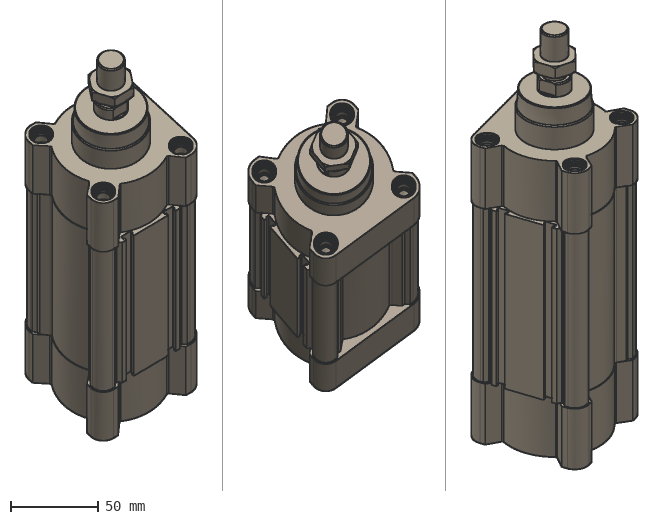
import cadquery as cq
import math


total_length = 273.0
head_length = 41.2
barrel_length = 118.8
spigot_length = 3.8
heads_top = 2 * head_length + barrel_length
rod_top = total_length - spigot_length

overall_width = 75.0
head_half_width = overall_width / 2
screw_spacing = 56.8
screw_offset = screw_spacing / 2
head_lobe_radius = head_half_width - screw_offset
head_round_radius = 34.5
lobe_side_start = 24.9
valley_outer_x = 18.0
valley_outer_y = 30.3
valley_inner_x = 17.0

barrel_half_width = 36.5
barrel_round_radius = 34.1
barrel_lobe_radius = barrel_half_width - screw_offset
lobe_flat_end = 26.5
notch_depth = 34.5
notch_outer = 24.3
notch_inner = 22.5
lip_end = 21.0
slot_center = 15.3
slot_mouth_width = 5.5
slot_inner_width = 7.0
slot_lip_thickness = 2.0
slot_depth = 3.8

recess_mouth_diameter = 14.0
recess_chamfer = 0.4
recess_steps = [(13.0, 1.6), (12.0, 2.7), (10.5, 3.8), (8.7, 5.5), (8.0, 11.0), (6.5, 13.7)]
drill_tip_angle = 118.0

collar_diameter = 45.0
spigot_chamfer = 0.8
neck_length = 27.5
neck_shoulder = 15.3
shoulder_chamfer = 0.8
neck_base_diameter = 43.5
neck_top_diameter = 42.0
neck_waist_depth = 0.15
neck_top_chamfer = 0.5

rod_diameter = 20.0
rod_chamfer = 0.8
rod_flats_width = 17.0
rod_end_length = 31.5
rod_shoulder_z = rod_top - rod_end_length
rod_collar_height = 0.8
flats_bottom_z = heads_top + neck_length + rod_collar_height
thread_end_diameter = 16.0
undercut_diameter = 14.0
undercut_length = 2.0
undercut_taper = 2.0
thread_tip_chamfer = 0.8

nut_across_flats = 24.0
nut_across_corners = nut_across_flats / math.cos(math.radians(30))
nut_height = 8.2
nut_setback = 26.0
nut_bottom_z = rod_top - nut_setback
nut_face_diameter = 25.0
nut_chamfer_angle = 30.0


def revolved(profile):
    """Turn a closed (radius, z) workplane profile about the Z axis."""
    return profile.close().revolve(360, (0, 0, 0), (0, 1, 0))


def screw_places():
    return [(sx * screw_offset, sy * screw_offset) for sx in (-1, 1) for sy in (-1, 1)]


def rounded_square(half_width, corner_radius, height):
    block = cq.Workplane("XY").rect(2 * half_width, 2 * half_width).extrude(height)
    return block.edges("|Z").fillet(corner_radius)


def side_recess(lobe_side, half_width, round_radius, height):
    """Material missing between two lobes on the +Y side; lobe_side runs inward along the +X flank."""
    round_start = (valley_inner_x, math.sqrt(round_radius**2 - valley_inner_x**2))
    edge_x = lobe_side[0][0]
    half = (
        cq.Workplane("XY")
        .moveTo(0, 2 * half_width)
        .lineTo(edge_x, 2 * half_width)
        .polyline(lobe_side + [(valley_outer_x, valley_outer_y), round_start], includeCurrent=True)
        .radiusArc((0, round_radius), -round_radius)
        .close()
        .extrude(height)
    )
    return half.union(half.mirror("YZ"))


def make_head():
    """Head recessed on every side but +Y, which stays flat."""
    head = rounded_square(head_half_width, head_lobe_radius, head_length)
    recess = side_recess(
        [(lobe_side_start, head_half_width)], head_half_width, head_round_radius, head_length
    )
    for angle in (90, 180, -90):
        head = head.cut(recess.rotate((0, 0, 0), (0, 0, 1), angle))
    return head


def sensor_slot(length):
    """T-slot opening to -X, centred on Y = 0."""
    mouth = cq.Workplane("XY").box(2 * slot_depth, slot_mouth_width, length, centered=(True, True, False))
    inner_depth = slot_depth - slot_lip_thickness
    inner = cq.Workplane("XY").box(inner_depth, slot_inner_width, length, centered=(False, True, False))
    return mouth.union(inner.translate((slot_lip_thickness, 0, 0))).translate((-barrel_half_width, 0, 0))


def lobe_notch(length):
    """Notch between a screw lobe and the slot lip, on the -X side towards +Y."""
    points = [
        (-barrel_half_width, lobe_flat_end),
        (-notch_depth, notch_outer),
        (-notch_depth, lip_end + barrel_half_width - notch_depth),
        (-barrel_half_width, lip_end),
    ]
    return cq.Workplane("XY").polyline(points).close().extrude(length)


def make_barrel():
    barrel = rounded_square(barrel_half_width, barrel_lobe_radius, barrel_length)
    flank = [
        (lobe_flat_end, barrel_half_width),
        (notch_outer, notch_depth),
        (notch_inner, notch_depth),
    ]
    recess = side_recess(flank, barrel_half_width, barrel_round_radius, barrel_length)
    for angle in (0, 180):
        barrel = barrel.cut(recess.rotate((0, 0, 0), (0, 0, 1), angle))
    slot = sensor_slot(barrel_length).translate((0, slot_center, 0))
    side_cuts = slot.union(lobe_notch(barrel_length))
    side_cuts = side_cuts.union(side_cuts.mirror("XZ"))
    barrel = barrel.cut(side_cuts).cut(side_cuts.mirror("YZ"))
    return barrel.translate((0, 0, head_length))


def screw_recess():
    """Stepped recess opening upward at Z = 0."""
    core_diameter, core_depth = recess_steps[-1]
    tip_length = core_diameter / 2 / math.tan(math.radians(drill_tip_angle / 2))
    profile = cq.Workplane("XZ").lineTo(recess_mouth_diameter / 2, 0)
    start_depth = recess_chamfer
    for diameter, depth in recess_steps:
        profile = profile.lineTo(diameter / 2, -start_depth).lineTo(diameter / 2, -depth)
        start_depth = depth
    return revolved(profile.lineTo(0, -core_depth - tip_length))


def make_neck():
    """Bearing neck on the upper head, waisted above its collar."""
    top = neck_length - neck_top_chamfer
    waist_bottom = neck_shoulder + shoulder_chamfer
    middle = ((neck_base_diameter + neck_top_diameter) / 4 - neck_waist_depth, (top + waist_bottom) / 2)
    profile = (
        cq.Workplane("XZ")
        .lineTo(collar_diameter / 2, 0)
        .lineTo(collar_diameter / 2, neck_shoulder)
        .lineTo(neck_base_diameter / 2, waist_bottom)
        .threePointArc(middle, (neck_top_diameter / 2, top))
        .lineTo(neck_top_diameter / 2 - neck_top_chamfer, neck_length)
        .lineTo(0, neck_length)
    )
    return revolved(profile).translate((0, 0, heads_top))


def make_spigot():
    spigot = cq.Workplane("XY").circle(collar_diameter / 2).extrude(-spigot_length)
    return spigot.faces("<Z").chamfer(spigot_chamfer)


def make_housing():
    lower_head = make_head()
    upper_head = make_head().translate((0, 0, heads_top - head_length))
    housing = lower_head.union(make_barrel()).union(upper_head).union(make_spigot()).union(make_neck())
    recess = screw_recess()
    for x, y in screw_places():
        housing = housing.cut(recess.translate((x, y, heads_top)))
    rod_bore = cq.Workplane("XY").workplane(offset=heads_top).circle(rod_diameter / 2).extrude(neck_length)
    return housing.cut(rod_bore)


def make_rod():
    rod_radius = rod_diameter / 2
    thread_radius = thread_end_diameter / 2
    undercut_top = rod_shoulder_z + undercut_length
    profile = (
        cq.Workplane("XZ")
        .moveTo(0, heads_top)
        .lineTo(rod_radius, heads_top)
        .lineTo(rod_radius, rod_shoulder_z - rod_chamfer)
        .lineTo(rod_radius - rod_chamfer, rod_shoulder_z)
        .lineTo(undercut_diameter / 2, rod_shoulder_z)
        .lineTo(undercut_diameter / 2, undercut_top)
        .lineTo(thread_radius, undercut_top + undercut_taper)
        .lineTo(thread_radius, rod_top - thread_tip_chamfer)
        .lineTo(thread_radius - thread_tip_chamfer, rod_top)
        .lineTo(0, rod_top)
    )
    rod = revolved(profile)
    flat_height = rod_shoulder_z - flats_bottom_z
    flat_cut = cq.Workplane("XY").box(rod_radius, rod_diameter, flat_height, centered=(False, True, False))
    flat_cut = flat_cut.translate((rod_flats_width / 2, 0, flats_bottom_z))
    return rod.cut(flat_cut).cut(flat_cut.mirror("YZ"))


def make_nut():
    hexagon = cq.Workplane("XY").polygon(6, nut_across_corners).extrude(nut_height)
    hexagon = hexagon.rotate((0, 0, 0), (0, 0, 1), 90)
    corner_radius = nut_across_corners / 2
    face_radius = nut_face_diameter / 2
    drop = (corner_radius - face_radius) * math.tan(math.radians(nut_chamfer_angle))
    envelope = (
        cq.Workplane("XZ")
        .lineTo(face_radius, 0)
        .lineTo(corner_radius, drop)
        .lineTo(corner_radius, nut_height - drop)
        .lineTo(face_radius, nut_height)
        .lineTo(0, nut_height)
    )
    thread_hole = cq.Workplane("XY").circle(thread_end_diameter / 2).extrude(nut_height)
    return hexagon.intersect(revolved(envelope)).cut(thread_hole).translate((0, 0, nut_bottom_z))


housing = make_housing()
piston_rod = make_rod()
lock_nut = make_nut()

result = cq.Compound.makeCompound([housing.val(), piston_rod.val(), lock_nut.val()])